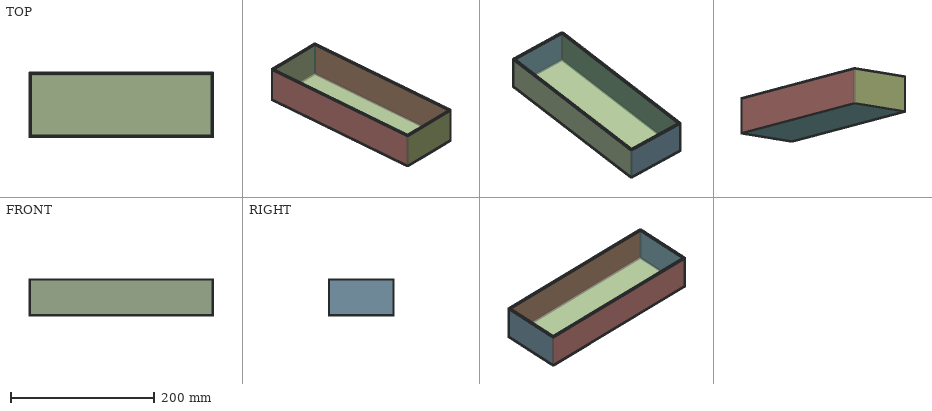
import cadquery as cq

LENGTH = 256.0
WIDTH = 90.0
HEIGHT = 50.0

WALL = 2.0
FLOOR = 1.5

OUTER_CORNER_RADIUS = 1.0
INNER_RADIUS = 1.0


def outer_block():
    """Solid block with rounded vertical corners, resting on Z = 0."""
    block = cq.Workplane("XY").box(LENGTH, WIDTH, HEIGHT, centered=(True, True, False))
    return block.edges("|Z").fillet(OUTER_CORNER_RADIUS)


def cavity():
    """Inner volume, rounded at its vertical corners and around its floor."""
    inner_length = LENGTH - 2 * WALL
    inner_width = WIDTH - 2 * WALL
    depth = HEIGHT - FLOOR
    volume = (
        cq.Workplane("XY")
        .workplane(offset=FLOOR)
        .box(inner_length, inner_width, depth, centered=(True, True, False))
    )
    return volume.edges("|Z or <Z").fillet(INNER_RADIUS)


result = outer_block().cut(cavity())